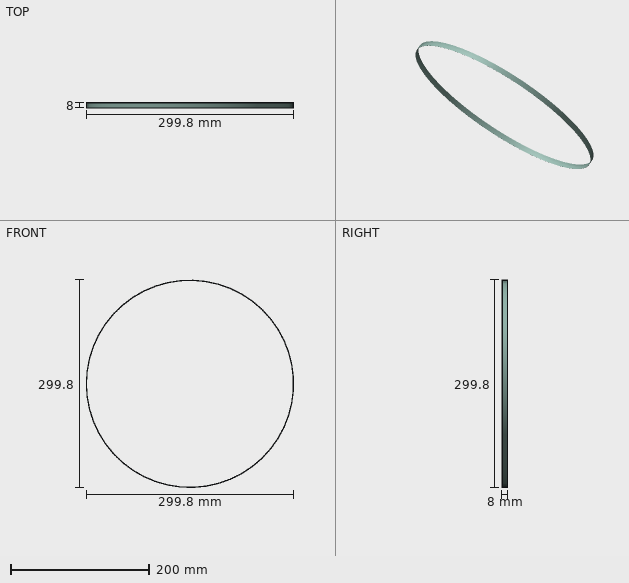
import cadquery as cq

outer_diameter = 299.81
wall_thickness = 0.25
band_width = 8.0

outer_radius = outer_diameter / 2
inner_radius = outer_radius - wall_thickness

rim_plane = cq.Plane(
    origin=(0, band_width / 2, 0),
    xDir=(-1, 0, 0),
    normal=(0, -1, 0),
)

result = (
    cq.Workplane(rim_plane)
    .circle(outer_radius)
    .circle(inner_radius)
    .extrude(band_width)
)